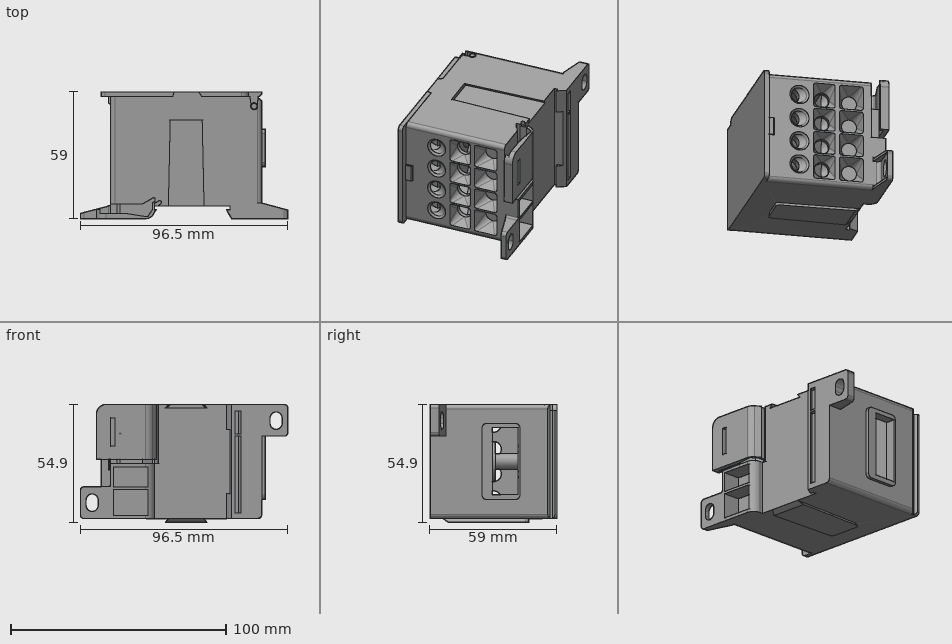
import cadquery as cq
import math

LENGTH = 96.5
DEPTH = 59.0
COVER_TOP = 53.2
BODY_TOP = 53.1
OVERCUT = 1.0

BODY_LEFT = 14.0
BODY_RIGHT = 84.3
EDGE_ROUND = 2.0
RAIL_FLOOR = 5.9
LIP_BACK = 4.2
RAIL_LEFT = 34.5
RAIL_RIGHT = 69.5
LIP_LEFT = 35.3
LIP_RIGHT = 67.8
LIP_ROOT = 70.35
LIP_RELIEF_Z = (11.7, 41.4)
LIP_SLOT_X = (72.0, 74.8)
LIP_SLOTS_Z = ((2.7, 38.4), (39.3, 50.1))
LIP_SLOT_DEPTH = 2.1
CORNER_START = 30.4
CORNER_RADIUS = RAIL_LEFT - CORNER_START
LIP_BEND_END = (33.6, 1.6)

COVER_LEFT = 9.65
COVER_BACK = 56.7
COVER_ROUND = 1.8
COVER_BEVEL = 1.2
LATCH_BEVEL = 0.5
LATCH_LEFT = 13.0
LATCH_FRONT = 53.4
LATCH_Z = (22.7, 30.8)
GAP_INNER_X = (42.9, 56.5)
GAP_OUTER_X = (43.6, 55.1)

PIN_X = 80.8
PIN_Y = 52.3
PIN_RADIUS = 1.35
PIN_GAP = 0.3
PIN_GROOVE_DEPTH = 0.5
LEG_WIDTH = 3.9
HINGE_END_DROP = 2.9
HINGE_END_TOP = COVER_TOP - HINGE_END_DROP
HINGE_END_START = 75.0
HINGE_END_FLAT = 78.2
HINGE_END_RADIUS = ((HINGE_END_FLAT - HINGE_END_START) ** 2 + HINGE_END_DROP**2) / (2 * HINGE_END_DROP)

LEFT_FOOT_HEIGHT = 14.9
LEFT_FOOT_EDGE = 2.5
LEFT_FOOT_ROOT = 6.2
FOOT_RIB = 1.3
FOOT_BLEND = 1.9
FOOT_TOP_BLEND = 1.0
RIGHT_FOOT_BOTTOM = 38.3
RIGHT_FOOT_EDGE = 4.1
RIGHT_FOOT_ROOT = 7.3
FOOT_ROUND = 1.7
SLOT_WIDTH = 5.5
SLOT_HEIGHT = 8.0
SLOT_INSET = 5.5
LEFT_SLOT_Z = 7.4
RIGHT_SLOT_Z = 45.5

BOX_TOP = 25.6
FLAP_BOTTOM = 27.5
FLAP_LEFT = 7.4
FLAP_THICK = 2.5
FLAP_ROUND = 4.5
FLAP_LIP_WIDTH = 1.7
FLAP_WINDOW_X = (14.0, 16.2)
FLAP_WINDOW_Z = (33.7, 46.8)
RIB_X = (17.1, 18.4)
RIB_TOP = 40.7
POCKET_X = (15.5, 31.4)
POCKETS_Z = ((1.5, 13.6), (14.8, 24.1))
POCKET_DEPTH = 9.0
HOLLOW_BACK = 6.9
ARM_LEFT = 33.5

ROW_PITCH = 11.5
MIDDLE_Z = 26.5
OUTER_CELL = 11.7
INNER_CELL = 10.6
CELL_GAP = 0.9
CELL_ROUND = 1.2
THROAT_TRIM = 1
BORE_RADIUS = 3.6
MIDDLE_CELL_Y = (24.2, 34.5)
LOWER_CELL_Y = (10.8, 22.2)
MIDDLE_BORE_Y = 29.4
LOWER_BORE_Y = 15.9
DRILL_POINT = 2.1
FUNNEL_DEPTH = 5.2
DEEP_FUNNEL_DEPTH = 7.2
SCREW_Y = 41.3
SCREW_RIM_RADIUS = 4.5
SCREW_RIM_DEPTH = 1.0
SCREW_SHIFT = 3.1
SCREW_SLANT_DEPTH = 2.1

CHAMBER_LEFT = 21.2
CHAMBER_RIGHT = 81.1
CHAMBER_Y = (28.95, 43.9)
CHAMBER_Z = (4.8, 48.25)
PORT_Y = (28.95, 40.9)
PORT_Z = (11.2, 42.3)
POST_X = 57.9
POST_FOOT_RADIUS = 9.2
POST_NECK_RADIUS = 3.7
POST_HEAD_RADIUS = 7.6
POST_FOOT_TOP = 30.3
COLLAR_Y = (24.1, 41.7)
COLLAR_Z = (8.9, 44.3)
COLLAR_HEIGHT = 1.6
COLLAR_ROUND = 2.1

DOVETAIL_X = 49.2
DOVETAIL_HEIGHT = 1.7
DOVETAIL_FLARE = 1.4
DOVETAIL_FRONT_HALF = 8.3
DOVETAIL_REAR_HALF = 7.4
DOVETAIL_REAR = 45.8
DOVETAIL_LEAD = 2.6
DOVETAIL_END_ROUND = 1.5


def block(x_range, y_range, z_range):
    """Box spanning the given ranges."""
    lows, highs = zip(x_range, y_range, z_range)
    sizes = [high - low for low, high in zip(lows, highs)]
    return cq.Workplane("XY").box(*sizes, centered=False).translate(lows)


def prism(points, z_range):
    """Polygon in XY extruded over the Z range."""
    low, high = z_range
    return cq.Workplane("XY").workplane(offset=low).polyline(points).close().extrude(high - low)


def housing():
    outline = (
        cq.Workplane("XY")
        .moveTo(BODY_LEFT, 0)
        .lineTo(CORNER_START, 0)
        .radiusArc((RAIL_LEFT, CORNER_RADIUS), -CORNER_RADIUS)
        .lineTo(RAIL_LEFT, RAIL_FLOOR)
        .lineTo(RAIL_RIGHT, RAIL_FLOOR)
        .lineTo(RAIL_RIGHT, LIP_BACK)
        .lineTo(LIP_RIGHT, LIP_BACK)
        .lineTo(LIP_ROOT, 0)
        .lineTo(BODY_RIGHT, 0)
        .lineTo(BODY_RIGHT, COVER_BACK)
        .lineTo(BODY_LEFT, COVER_BACK)
        .close()
    )
    solid = outline.extrude(BODY_TOP)
    return solid.faces("<X or >X").edges("|Y").fillet(EDGE_ROUND)


def cover():
    """Lid over the back, with a latch tab and a shallow gap in its raised upper edge."""
    lid = block((COVER_LEFT, BODY_RIGHT), (COVER_BACK, DEPTH), (0, COVER_TOP))
    lid = lid.edges("|Y").fillet(COVER_ROUND)
    bevel = prism(
        [
            (BODY_RIGHT - COVER_BEVEL, COVER_BACK),
            (BODY_RIGHT, COVER_BACK + COVER_BEVEL),
            (BODY_RIGHT, COVER_BACK),
        ],
        (0, COVER_TOP),
    )
    latch = block((LATCH_LEFT, BODY_LEFT), (LATCH_FRONT, COVER_BACK), LATCH_Z)
    latch = latch.edges("<X and <Y").chamfer(LATCH_BEVEL)
    edge_gap = prism(
        [
            (GAP_INNER_X[0], COVER_BACK),
            (GAP_INNER_X[1], COVER_BACK),
            (GAP_OUTER_X[1], DEPTH),
            (GAP_OUTER_X[0], DEPTH),
        ],
        (BODY_TOP, COVER_TOP),
    )
    hinge_end = (
        cq.Workplane("XZ", origin=(0, COVER_BACK, 0))
        .moveTo(HINGE_END_START, COVER_TOP)
        .radiusArc((HINGE_END_FLAT, HINGE_END_TOP), HINGE_END_RADIUS)
        .lineTo(LENGTH, HINGE_END_TOP)
        .lineTo(LENGTH, COVER_TOP)
        .close()
        .extrude(COVER_BACK - DEPTH)
    )
    return lid.cut(bevel).union(latch).cut(edge_gap).cut(hinge_end)


def hinge_cuts():
    """Ring around the hinge pin, its lowered leg, and the clearance notch beside the cover."""
    groove_z = (BODY_TOP - PIN_GROOVE_DEPTH, BODY_TOP + OVERCUT)
    ring_base = cq.Workplane("XY", origin=(PIN_X, PIN_Y, groove_z[0]))
    disc = ring_base.circle(PIN_RADIUS + PIN_GAP).extrude(groove_z[1] - groove_z[0])
    pin = ring_base.circle(PIN_RADIUS).extrude(groove_z[1] - groove_z[0])
    leg = prism(
        [
            (PIN_X - LEG_WIDTH / 2, COVER_BACK),
            (PIN_X + LEG_WIDTH / 2, COVER_BACK),
            (PIN_X + PIN_RADIUS, PIN_Y),
            (PIN_X - PIN_RADIUS, PIN_Y),
        ],
        (HINGE_END_TOP, COVER_TOP),
    )
    pin_column = (
        cq.Workplane("XY", origin=(PIN_X, PIN_Y, HINGE_END_TOP))
        .circle(PIN_RADIUS + PIN_GAP)
        .extrude(HINGE_END_DROP)
    )
    notch_left = 82.7
    bevel_start = (83.3, 55.8)
    bevel_end = 54.6
    notch = prism(
        [
            (notch_left, COVER_BACK),
            (notch_left, bevel_start[1]),
            bevel_start,
            (BODY_RIGHT, bevel_end),
            (LENGTH, bevel_end),
            (LENGTH, COVER_BACK),
        ],
        (-OVERCUT, COVER_TOP + OVERCUT),
    )
    return leg.cut(pin_column).union(disc.cut(pin)).union(notch)


def foot_slot(x, z):
    return (
        cq.Workplane("XZ")
        .center(x, z)
        .slot2D(SLOT_HEIGHT, SLOT_WIDTH, 90)
        .extrude(-DEPTH)
    )


def left_foot():
    """Thin plate between two sloping ribs, blended into the housing."""
    full = prism(
        [
            (0, 0),
            (BODY_LEFT + EDGE_ROUND, 0),
            (BODY_LEFT + EDGE_ROUND, LEFT_FOOT_ROOT),
            (BODY_LEFT, LEFT_FOOT_ROOT),
            (0, LEFT_FOOT_EDGE),
        ],
        (0, LEFT_FOOT_HEIGHT),
    )
    full = full.edges("|Y and <X").fillet(FOOT_ROUND)
    blend_start = BODY_LEFT - FOOT_BLEND
    blend_top = LEFT_FOOT_EDGE + FOOT_BLEND
    reach = FOOT_BLEND * math.sqrt(0.5)
    recess = (
        cq.Workplane("XY")
        .workplane(offset=FOOT_RIB)
        .moveTo(0, LEFT_FOOT_EDGE)
        .lineTo(blend_start, LEFT_FOOT_EDGE)
        .threePointArc((blend_start + reach, blend_top - reach), (BODY_LEFT, blend_top))
        .lineTo(BODY_LEFT, DEPTH)
        .lineTo(0, DEPTH)
        .close()
        .extrude(LEFT_FOOT_HEIGHT - 2 * FOOT_RIB)
    )
    blend_left = BODY_LEFT - FOOT_TOP_BLEND
    top_blend = (
        cq.Workplane("XZ")
        .moveTo(blend_left, LEFT_FOOT_HEIGHT)
        .lineTo(BODY_LEFT, LEFT_FOOT_HEIGHT)
        .lineTo(BODY_LEFT, LEFT_FOOT_HEIGHT + FOOT_TOP_BLEND)
        .radiusArc((blend_left, LEFT_FOOT_HEIGHT), FOOT_TOP_BLEND)
        .close()
        .extrude(-LEFT_FOOT_ROOT)
    )
    return full.cut(recess).union(top_blend).cut(foot_slot(SLOT_INSET, LEFT_SLOT_Z))


def right_foot():
    foot = prism(
        [
            (BODY_RIGHT - EDGE_ROUND, 0),
            (LENGTH, 0),
            (LENGTH, RIGHT_FOOT_EDGE),
            (BODY_RIGHT, RIGHT_FOOT_ROOT),
            (BODY_RIGHT - EDGE_ROUND, RIGHT_FOOT_ROOT),
        ],
        (RIGHT_FOOT_BOTTOM, BODY_TOP),
    )
    foot = foot.edges("|Y and >X").fillet(FOOT_ROUND)
    return foot.cut(foot_slot(LENGTH - SLOT_INSET, RIGHT_SLOT_Z))


def rail_lip_cuts():
    """Relief in the right rail lip and the two sloping slots behind the lip."""
    cuts = block((LIP_RIGHT - OVERCUT, RAIL_RIGHT), (-OVERCUT, RAIL_FLOOR), LIP_RELIEF_Z)
    lean = LIP_SLOT_DEPTH * (LIP_ROOT - LIP_RIGHT) / LIP_BACK
    section = [
        (LIP_SLOT_X[0], 0),
        (LIP_SLOT_X[1], 0),
        (LIP_SLOT_X[1] - lean, LIP_SLOT_DEPTH),
        (LIP_SLOT_X[0] - lean, LIP_SLOT_DEPTH),
    ]
    for z_range in LIP_SLOTS_Z:
        cuts = cuts.union(prism(section, z_range))
    return cuts


def clip_hollow():
    """Space behind the flap, open to the left and above, with two rounded relief fingers."""
    z_range = (BOX_TOP, COVER_TOP)
    height = z_range[1] - z_range[0]
    plane = cq.Workplane("XY").workplane(offset=BOX_TOP)
    main = (
        plane
        .moveTo(0, -OVERCUT)
        .lineTo(LIP_LEFT + OVERCUT, -OVERCUT)
        .lineTo(LIP_LEFT + OVERCUT, RAIL_FLOOR)
        .lineTo(RAIL_LEFT, 7.2)
        .lineTo(ARM_LEFT, 7.4)
        .lineTo(34.7, 8.1)
        .lineTo(34.7, 9.3)
        .threePointArc((34.4, 9.7), (33.8, 9.65))
        .lineTo(28.95, HOLLOW_BACK)
        .lineTo(0, HOLLOW_BACK)
        .close()
        .extrude(height)
    )
    lower_finger = (
        plane
        .moveTo(RAIL_LEFT, RAIL_FLOOR)
        .lineTo(RAIL_LEFT, 7.2)
        .lineTo(36.5, 8.3)
        .threePointArc((37.5, 8.1), (37.4, 7.0))
        .lineTo(36.0, RAIL_FLOOR)
        .close()
        .extrude(height)
    )
    return main.union(lower_finger)


def clip_flap():
    """Spring flap: finger lip on the left, thin bend on the right, arm rooted in the housing."""
    lip_right = FLAP_LEFT + FLAP_LIP_WIDTH
    flap = (
        cq.Workplane("XY")
        .workplane(offset=FLAP_BOTTOM)
        .moveTo(FLAP_LEFT, 0)
        .lineTo(CORNER_START, 0)
        .tangentArcPoint(LIP_BEND_END, relative=False)
        .lineTo(LIP_LEFT, LIP_BACK)
        .lineTo(RAIL_LEFT, LIP_BACK)
        .lineTo(RAIL_LEFT, 7.1)
        .lineTo(35.2, 7.6)
        .lineTo(34.9, 8.2)
        .lineTo(ARM_LEFT, 7.4)
        .lineTo(ARM_LEFT, LIP_BACK)
        .lineTo(31.7, 1.4)
        .threePointArc((31.3, 1.1), (30.7, 1.0))
        .lineTo(21.0, FLAP_THICK)
        .lineTo(lip_right, FLAP_THICK)
        .lineTo(lip_right, LIP_BACK)
        .lineTo(FLAP_LEFT, LIP_BACK)
        .close()
        .extrude(BODY_TOP - FLAP_BOTTOM)
    )
    flap = flap.faces("<X").edges("|Y and >Z").fillet(FLAP_ROUND)
    window = block(FLAP_WINDOW_X, (0, FLAP_THICK), FLAP_WINDOW_Z)
    return flap.cut(window)


def catch_rib():
    return block(RIB_X, (FLAP_THICK, HOLLOW_BACK), (BOX_TOP, RIB_TOP))


def box_pockets():
    """Two open pockets in the fixed block below the flap."""
    pockets = None
    for z_range in POCKETS_Z:
        pocket = block(POCKET_X, (0, POCKET_DEPTH), z_range)
        pockets = pocket if pockets is None else pockets.union(pocket)
    return pockets


def rounded_loop(plane, centre, half_y, half_z, radius, trim):
    """Loop of four corner arcs, each shortened by the trim angle at both ends and joined to the next."""
    corners = ((1, 1), (-1, 1), (-1, -1), (1, -1))
    loop = plane
    for index, (side_y, side_z) in enumerate(corners):
        points = []
        for angle in (trim, 45, 90 - trim):
            turn = math.radians(90 * index + angle)
            points.append((
                centre[0] + side_y * half_y + radius * math.cos(turn),
                centre[1] + side_z * half_z + radius * math.sin(turn),
            ))
        start, middle, end = points
        loop = loop.moveTo(*start) if index == 0 else loop.lineTo(*start)
        loop = loop.threePointArc(middle, end)
    return loop.close()


def funnel(y_range, z_range, bore, depth):
    """Rounded rectangular mouth narrowing to a round bore."""
    mouth_centre = (sum(y_range) / 2, sum(z_range) / 2)
    half_y = (y_range[1] - y_range[0]) / 2 - CELL_ROUND
    half_z = (z_range[1] - z_range[0]) / 2 - CELL_ROUND
    face = cq.Workplane("YZ", origin=(BODY_LEFT, 0, 0))
    mouth = rounded_loop(face, mouth_centre, half_y, half_z, CELL_ROUND, 0)
    throat = rounded_loop(mouth.workplane(offset=depth), bore, 0, 0, BORE_RADIUS, THROAT_TRIM)
    return throat.loft(ruled=True)


def pointed_bore(y, z):
    """Round bore with a drill-point end that meets the chamber."""
    return (
        cq.Workplane("XY", origin=(0, y, z))
        .moveTo(BODY_LEFT, 0)
        .lineTo(BODY_LEFT, BORE_RADIUS)
        .lineTo(CHAMBER_LEFT, BORE_RADIUS)
        .lineTo(CHAMBER_LEFT + DRILL_POINT, 0)
        .close()
        .revolve(360, (0, 0, 0), (1, 0, 0))
        .intersect(block((BODY_LEFT + FUNNEL_DEPTH, LENGTH), (0, DEPTH), (0, BODY_TOP)))
    )


def screw_hole(z):
    """Rimmed hole that slants towards the cover, then runs straight into the chamber."""
    rim = (
        cq.Workplane("YZ", origin=(BODY_LEFT, SCREW_Y, z))
        .circle(SCREW_RIM_RADIUS)
        .workplane(offset=SCREW_RIM_DEPTH)
        .circle(BORE_RADIUS)
        .loft()
    )
    slanted = (
        cq.Workplane("YZ", origin=(BODY_LEFT + SCREW_RIM_DEPTH, SCREW_Y, z))
        .circle(BORE_RADIUS)
        .workplane(offset=SCREW_SLANT_DEPTH)
        .center(SCREW_SHIFT, 0)
        .circle(BORE_RADIUS)
        .loft()
    )
    slant_end = BODY_LEFT + SCREW_RIM_DEPTH + SCREW_SLANT_DEPTH
    straight = (
        cq.Workplane("YZ", origin=(slant_end, SCREW_Y + SCREW_SHIFT, z))
        .circle(BORE_RADIUS)
        .extrude(CHAMBER_LEFT - slant_end)
    )
    return rim.union(slanted).union(straight)


def terminal_holes():
    """Four rows of a screw hole and two wire funnels in the left face."""
    cuts = None
    for half in (-1, 1):
        near = MIDDLE_Z + half * CELL_GAP / 2
        rows = (
            (near, INNER_CELL, 0.5),
            (near + half * (INNER_CELL + CELL_GAP), OUTER_CELL, 1.5),
        )
        for edge, height, step in rows:
            z_range = sorted((edge, edge + half * height))
            bore_z = MIDDLE_Z + half * step * ROW_PITCH
            middle = funnel(MIDDLE_CELL_Y, z_range, (MIDDLE_BORE_Y, bore_z), FUNNEL_DEPTH)
            passage = pointed_bore(MIDDLE_BORE_Y, bore_z)
            lower = funnel(LOWER_CELL_Y, z_range, (LOWER_BORE_Y, bore_z), DEEP_FUNNEL_DEPTH)
            row = screw_hole(bore_z).union(middle).union(passage).union(lower)
            cuts = row if cuts is None else cuts.union(row)
    return cuts


def port_collar():
    collar = block((BODY_RIGHT, BODY_RIGHT + COLLAR_HEIGHT), COLLAR_Y, COLLAR_Z)
    return collar.edges("|X").fillet(COLLAR_ROUND)


def chamber():
    """Hollow behind the terminals with a stepped post across it, opening through the collar."""
    port = block((CHAMBER_RIGHT, LENGTH), PORT_Y, PORT_Z)
    steps = (
        (POST_FOOT_RADIUS, CHAMBER_Y[0], POST_FOOT_TOP),
        (POST_NECK_RADIUS, POST_FOOT_TOP, PORT_Y[1]),
        (POST_HEAD_RADIUS, PORT_Y[1], CHAMBER_Y[1]),
    )
    hollow = block((CHAMBER_LEFT, CHAMBER_RIGHT), CHAMBER_Y, CHAMBER_Z).union(port)
    for radius, start, end in steps:
        step = cq.Workplane("XZ", origin=(POST_X, start, MIDDLE_Z)).circle(radius).extrude(start - end)
        hollow = hollow.cut(step)
    return hollow


def dovetail(root_z):
    """Tapering dovetail that hangs below the given level and widens downwards."""

    def section(half_width):
        wide = half_width + DOVETAIL_FLARE
        return [
            (DOVETAIL_X - half_width, root_z),
            (DOVETAIL_X + half_width, root_z),
            (DOVETAIL_X + wide, root_z - DOVETAIL_HEIGHT),
            (DOVETAIL_X - wide, root_z - DOVETAIL_HEIGHT),
        ]

    return (
        cq.Workplane("XZ", origin=(0, RAIL_FLOOR, 0))
        .polyline(section(DOVETAIL_FRONT_HALF))
        .close()
        .workplane(offset=RAIL_FLOOR - DOVETAIL_REAR)
        .polyline(section(DOVETAIL_REAR_HALF))
        .close()
        .loft(ruled=True)
    )


def dovetail_rail():
    """Male dovetail under the housing with a sloping lead-in."""
    lead_in = (
        cq.Workplane("YZ")
        .polyline([
            (RAIL_FLOOR, 0),
            (RAIL_FLOOR, -DOVETAIL_HEIGHT),
            (RAIL_FLOOR + DOVETAIL_LEAD, -DOVETAIL_HEIGHT),
        ])
        .close()
        .extrude(LENGTH)
    )
    rail = dovetail(0)
    rail = rail.faces(">Y").edges("not |X").fillet(DOVETAIL_END_ROUND)
    return rail.cut(lead_in)


result = (
    housing()
    .cut(clip_hollow())
    .union(left_foot())
    .union(right_foot())
    .cut(rail_lip_cuts())
    .cut(box_pockets())
    .union(catch_rib())
    .union(clip_flap())
    .cut(dovetail(BODY_TOP))
    .union(dovetail_rail())
    .union(port_collar())
    .cut(hinge_cuts())
    .union(cover())
    .cut(terminal_holes())
    .cut(chamber())
)